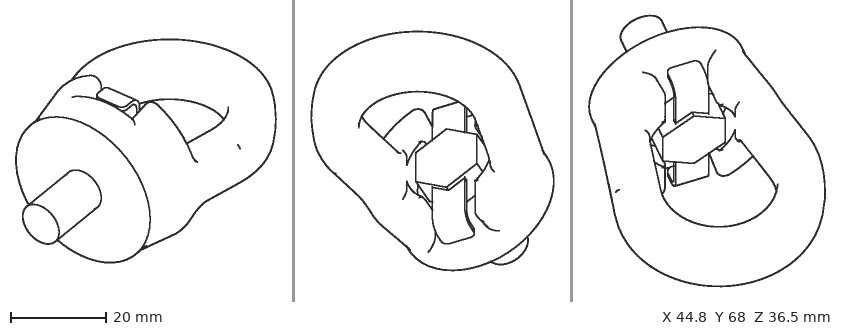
import cadquery as cq
import math


base_radius = 35.0 / 2
base_height = 3.05
eye_top = 53.05
sphere_radius = 44.8 / 2
eye_centre = eye_top - sphere_radius

ring_half_thickness = 5.0
shoulder_height = 15.0
shoulder_blend = 2.7
outline_fillet = 1.0
eye_hole_radius = 12.4
hole_edge_fillet = 2.05

window_width = 11.55
seat_height = 9.1
window_fillet = 2.05
seat_radius = 9.85

shank_radius = 4.75
bolt_length = 14.95
head_across_flats = 14.1
head_top = 16.05

clip_width = 7.5
clip_thickness = 1.0
clip_half_span = 17.5
clip_top = 14.95
clip_bend_radius = 3.0
clip_corner_radius = 1.35

rim_to_centre = eye_centre - base_height
rim_distance = math.hypot(base_radius, rim_to_centre)
cone_angle = math.atan2(rim_to_centre, base_radius) - math.acos(sphere_radius / rim_distance)

blend_height = shoulder_height + shoulder_blend
blend_depth = ring_half_thickness + shoulder_blend
tolerance = 0.01


def tangent_point(radius):
    """Point where a flank at the cone angle touches a circle about the eye centre."""
    return radius * math.cos(cone_angle), eye_centre - radius * math.sin(cone_angle)


def turned_envelope():
    """Base disc, cone and sphere cap as one body of revolution."""
    middle_angle = (math.pi / 2 - cone_angle) / 2
    arc_middle = (sphere_radius * math.cos(middle_angle), eye_centre + sphere_radius * math.sin(middle_angle))
    return (
        cq.Workplane("XY")
        .lineTo(base_radius, 0)
        .lineTo(base_radius, base_height)
        .lineTo(*tangent_point(sphere_radius))
        .threePointArc(arc_middle, (0, eye_top))
        .close()
        .revolve(360, (0, 0, 0), (0, 1, 0))
    )


def side_profile():
    """T-shaped block: thin ring plate above, full-depth shoulder below, blended between them."""
    arc_offset = shoulder_blend * math.sqrt(0.5)
    arc_middle = (blend_height - arc_offset, blend_depth - arc_offset)
    half = (
        cq.Workplane("YZ")
        .lineTo(eye_top, 0)
        .lineTo(eye_top, ring_half_thickness)
        .lineTo(blend_height, ring_half_thickness)
        .threePointArc(arc_middle, (shoulder_height, blend_depth))
        .lineTo(shoulder_height, sphere_radius)
        .lineTo(0, sphere_radius)
        .close()
        .extrude(sphere_radius, both=True)
    )
    return half.union(half.mirror("XY"))


def eye_hole():
    """Teardrop hole whose flanks run parallel to the cone, down to the seating face."""
    tangent_x, tangent_y = tangent_point(eye_hole_radius)
    bottom_x = tangent_x - tangent_y * math.tan(cone_angle)
    return (
        cq.Workplane("XY")
        .moveTo(-bottom_x, 0)
        .lineTo(-tangent_x, tangent_y)
        .threePointArc((0, eye_centre + eye_hole_radius), (tangent_x, tangent_y))
        .lineTo(bottom_x, 0)
        .close()
        .extrude(sphere_radius, both=True)
    )


def is_hole_rim(edge):
    """True for the edges of the teardrop hole on the faces of the ring plate and shoulder."""
    point = edge.Center()
    crosswise = edge.geomType() == "LINE" and abs(edge.tangentAt(0).x) > 0.7 - tolerance
    on_faces = ring_half_thickness - tolerance < abs(point.z) < sphere_radius - tolerance
    beside_hole = abs(point.x) < eye_hole_radius and shoulder_height - tolerance < point.y < eye_top - tolerance
    return on_faces and beside_hole and not crosswise


def plate_and_shoulder():
    """Block with the rounded eye hole; the shoulder below the hole is solid."""
    plate = side_profile().cut(eye_hole())
    hole_rim = [edge for edge in plate.edges().vals() if is_hole_rim(edge)]
    plate = plate.newObject(hole_rim).fillet(hole_edge_fillet)
    shoulder = cq.Workplane("XZ").rect(2 * sphere_radius, 2 * sphere_radius).extrude(-shoulder_height)
    return plate.union(shoulder)


def is_window_rim(edge):
    """True for the window edges that lie on the cone."""
    point = edge.Center()
    beside_window = abs(point.x) < window_width / 2 + tolerance
    above_seat = seat_height - tolerance < point.y < eye_centre
    return beside_window and above_seat and math.hypot(point.x, point.z) > base_radius


def window_half(envelope):
    """Material removed for the +X half of the +Z window, with the rounding of its rim."""
    quarter = envelope.intersect(cq.Workplane("XY").box(eye_top, eye_top, eye_top, centered=False))
    opening = cq.Workplane("XY").rect(window_width, 2 * (eye_top - seat_height)).extrude(sphere_radius)
    opened = quarter.cut(opening.translate((0, eye_top, blend_depth)))
    rim = [edge for edge in opened.edges().vals() if is_window_rim(edge)]
    return quarter.cut(opened.newObject(rim).fillet(window_fillet))


def on_envelope(point):
    """True for points on the cone or the sphere."""
    radius = math.hypot(point.x, point.z)
    cone_radius = base_radius + (point.y - base_height) * math.tan(cone_angle)
    on_cone = abs(radius - cone_radius) < tolerance
    on_sphere = abs(math.hypot(radius, point.y - eye_centre) - sphere_radius) < tolerance
    return on_cone or on_sphere


def is_outline(edge):
    """True for the outer rim of the ring plate and of the shoulder, with the window corners."""
    middle = edge.positionAt(0.5)
    on_faces = abs(middle.z) > ring_half_thickness - tolerance and middle.y > shoulder_height - tolerance
    touches_outside = on_envelope(edge.startPoint()) or on_envelope(edge.endPoint())
    return on_faces and touches_outside and edge.geomType() != "LINE"


def make_eye_body():
    body = turned_envelope()
    half = window_half(body)
    opposite_half = half.mirror("YZ")
    for cutter in (half, opposite_half, half.mirror("XY"), opposite_half.mirror("XY")):
        body = body.cut(cutter)
    body = body.intersect(plate_and_shoulder())
    outline = [edge for edge in body.edges().vals() if is_outline(edge)]
    body = body.newObject(outline).fillet(outline_fillet)
    seat = cq.Workplane("XZ", (0, seat_height, 0)).circle(seat_radius).extrude(seat_height - eye_centre)
    bore = cq.Workplane("XZ").circle(shank_radius).extrude(-seat_height)
    return body.cut(seat).cut(bore)


def make_clip():
    """Strip across the bolt head, bent down into a tab with rounded corners at each end."""
    inner_bend_radius = clip_bend_radius - clip_thickness
    bend_start = clip_half_span - clip_bend_radius
    bend_end = clip_top - clip_bend_radius
    half = (
        cq.Workplane("YZ")
        .moveTo(clip_top, 0)
        .lineTo(clip_top, bend_start)
        .radiusArc((bend_end, clip_half_span), -clip_bend_radius)
        .lineTo(seat_height, clip_half_span)
        .lineTo(seat_height, clip_half_span - clip_thickness)
        .lineTo(bend_end, clip_half_span - clip_thickness)
        .radiusArc((clip_top - clip_thickness, bend_start), inner_bend_radius)
        .lineTo(clip_top - clip_thickness, 0)
        .close()
        .extrude(clip_width / 2, both=True)
        .edges("|Z and <Y")
        .fillet(clip_corner_radius)
    )
    return half.union(half.mirror("XY"))


def make_bolt(clip_body):
    """Hexagon bolt with two head corners along Z and a cross slot that holds the clip."""
    head_corner_diameter = head_across_flats / math.cos(math.pi / 6)
    shank = cq.Workplane("XZ", (0, -bolt_length, 0)).circle(shank_radius).extrude(-bolt_length - seat_height)
    head = (
        cq.Workplane("XZ", (0, seat_height, 0))
        .transformed(rotate=(0, 0, 30))
        .polygon(6, head_corner_diameter)
        .extrude(seat_height - head_top)
    )
    return shank.union(head).cut(clip_body)


eye_body = make_eye_body()
clip = make_clip()
bolt = make_bolt(clip)

result = cq.Compound.makeCompound([eye_body.solids().val(), bolt.solids().val(), clip.solids().val()])